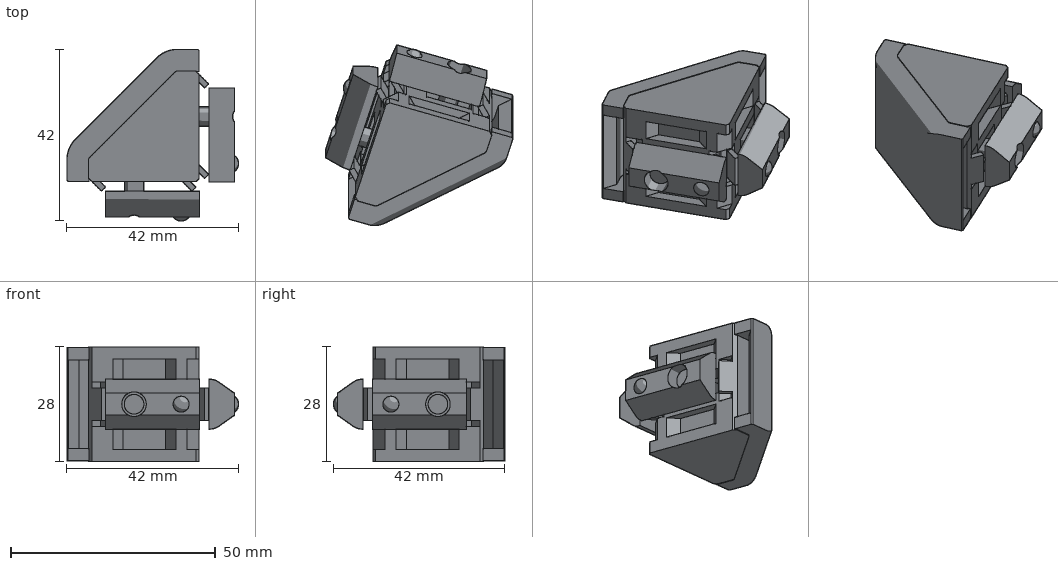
import cadquery as cq
import math

SYMMETRY_NORMAL = (1, 1, 0)
ROOT_HALF = math.sqrt(0.5)

bracket_height = 28.0
bracket_leg = 27.1
bracket_slope = 32.7
bracket_slope_fillet = 1.2
end_chamfer = 0.9
corner_chamfer = 0.7

recess_half_height = 11.05
pocket_inner_z = 6.0
pocket_start = -21.1
pocket_end = -5.7
pocket_depth = 2.48

slot_height = 6.43
slot_length = 11.5
slot_depth = 5.25

tab_height = 8.0
tab_thickness = 1.43
tab_pitch = 22.1
tab_tip = -21.55
notch_half_height = 5.45
notch_depth = 2.1
corner_cut = 2.95
corner_notch = 5.0
ridge_tip = 3.55

cap_height = 27.73
cap_leg = 32.35
cap_slope = 40.62
cap_wall = 3.02
cap_corner_radius = 7.0
cap_edge_chamfer = 0.35
cap_lip = 0.2
lip_reach = 1.25
mouth_chamfer = 2.6

nut_length = 23.02
nut_end = 0.13
nut_gap = 2.35
nut_depth = 6.3
nut_half_width = 6.15
nut_nose_half_width = 2.7
nut_side_flat = 0.15
nut_round_radius = 4.0
nut_slope_angle = math.radians(35.3)
nut_nose_y = -nut_gap - nut_depth
nut_bore = 6.0
ball_diameter = 4.8
ball_x = -4.4
ball_protrusion = 1.0

screw_diameter = 4.8
screw_x = -15.92
screw_recess = 2.77


def mirrored(shape):
    """The same shape on the other mounting face."""
    return shape.mirror(SYMMETRY_NORMAL)


def on_both_faces(shape):
    return shape.union(mirrored(shape))


def prism(points, height, z_center=0.0):
    """Vertical prism over an XY outline, centred on z_center."""
    return cq.Workplane("XY", origin=(0, 0, z_center - height / 2)).polyline(points).close().extrude(height)


def diagonal_box(sum_range, difference_range, height):
    """Upright box at 45 degrees, given by its ranges of X + Y and X - Y."""
    points = []
    for s, d in ((0, 0), (1, 0), (1, 1), (0, 1)):
        total = sum_range[s]
        difference = difference_range[d]
        points.append(((total + difference) / 2, (total - difference) / 2))
    return prism(points, height)


def sloped_outline(leg, slope):
    """Corner, end of the X leg, slope, end of the Y leg."""
    return [(0, 0), (-leg, 0), (-leg, slope - leg), (leg - slope, leg), (0, leg)]


def slope_corners(shape, leg, slope):
    """Vertical edges at both ends of the sloped side."""
    reach = 0.05
    low_end = cq.selectors.BoxSelector(
        (-leg - reach, slope - leg - reach, -reach), (-leg + reach, slope - leg + reach, reach))
    high_end = cq.selectors.BoxSelector(
        (leg - slope - reach, leg - reach, -reach), (leg - slope + reach, leg + reach, reach))
    return shape.edges(low_end + high_end)



def bracket_blank():
    blank = prism(sloped_outline(bracket_leg, bracket_slope), bracket_height)
    blank = slope_corners(blank, bracket_leg, bracket_slope).fillet(bracket_slope_fillet)
    end = prism([(-bracket_leg, 0), (-bracket_leg + end_chamfer, 0), (-bracket_leg, end_chamfer)],
                bracket_height)
    corner = prism([(0, 0), (-corner_chamfer, 0), (0, corner_chamfer)], bracket_height)
    return blank.cut(on_both_faces(end)).cut(corner)


def face_pockets():
    outline = [
        (pocket_start, 0),
        (pocket_end, 0),
        (pocket_end - pocket_depth, pocket_depth),
        (pocket_start + pocket_depth, pocket_depth),
    ]
    height = recess_half_height - pocket_inner_z
    z_center = (recess_half_height + pocket_inner_z) / 2
    return prism(outline, height, z_center).union(prism(outline, height, -z_center))


def screw_slot():
    return cq.Workplane("XY", origin=(screw_x, 0, 0)).box(
        slot_length, slot_depth, slot_height, centered=(True, False, True))


def outer_notch():
    start = end_chamfer - bracket_leg
    outline = [(start, 0), (start + notch_depth, notch_depth), (start + 2 * notch_depth, 0)]
    return prism(outline, 2 * notch_half_height)


def corner_recess():
    def corner_prism(size, height):
        return prism([(0, 0), (-size, 0), (0, size)], height)

    ridge_half_sum = tab_thickness * ROOT_HALF
    ridge = diagonal_box((-ridge_half_sum, ridge_half_sum), (-corner_notch, -ridge_tip),
                         2 * notch_half_height)
    notch = corner_prism(corner_notch, 2 * notch_half_height).cut(ridge)
    return corner_prism(corner_cut, 2 * recess_half_height).union(notch)


def spring_tabs():
    outer_sum = end_chamfer - bracket_leg
    inner_sum = outer_sum + tab_pitch
    sum_width = tab_thickness / ROOT_HALF
    outer = diagonal_box((outer_sum, outer_sum + sum_width), (outer_sum, tab_tip), tab_height)
    inner_tip = tab_tip + tab_pitch
    inner = diagonal_box((inner_sum, inner_sum + sum_width), (-corner_notch, inner_tip), tab_height)
    return outer, inner


def make_bracket():
    bracket = bracket_blank().cut(corner_recess())
    for recess in (face_pockets(), screw_slot(), outer_notch()):
        bracket = bracket.cut(recess).cut(mirrored(recess))
    for tab in spring_tabs():
        bracket = bracket.union(tab).union(mirrored(tab))
    return bracket



def cap_blank():
    """Outer shape, rounded at both ends of the slope, with a gap that the bracket fills."""
    lip_end = bracket_leg - cap_lip
    outline = [
        (-lip_end, 0),
        (cap_edge_chamfer - cap_leg, 0),
        (-cap_leg, cap_edge_chamfer),
        (-cap_leg, cap_slope - cap_leg),
        (cap_leg - cap_slope, cap_leg),
        (-cap_edge_chamfer, cap_leg),
        (0, cap_leg - cap_edge_chamfer),
        (0, lip_end),
        (-lip_reach, lip_end),
        (-lip_end / 2, lip_end / 2),
        (-lip_end, lip_reach),
    ]
    blank = prism(outline, cap_height)
    return slope_corners(blank, cap_leg, cap_slope).fillet(cap_corner_radius)


def cap_slope_rounding():
    """Bar along the slope whose long edges on the sloped face are rounded."""
    edge_radius = cap_corner_radius * (1 - ROOT_HALF)
    bar = diagonal_box((-2 * cap_leg, 2 * cap_leg), (-cap_slope, cap_leg), cap_height)
    sloped_face = bar.faces(cq.selectors.DirectionMinMaxSelector(cq.Vector(-1, 1, 0)))
    return sloped_face.edges("not |Z").fillet(edge_radius)


def cap_cavity():
    leg = cap_leg - cap_wall
    slope = cap_slope - cap_wall / ROOT_HALF
    height = cap_height - 2 * cap_wall
    cavity = prism(sloped_outline(leg, slope), height)
    cavity = slope_corners(cavity, leg, slope).fillet(cap_corner_radius - cap_wall)
    mouth = prism([(-leg - mouth_chamfer, 0), (-leg, mouth_chamfer), (-leg, 0)], height)
    return cavity.union(on_both_faces(mouth))


def make_cap():
    return cap_blank().intersect(cap_slope_rounding()).cut(bracket_blank()).cut(cap_cavity())



def nut_body():
    def round_point(angle):
        """Point on the rounded side where its tangent has turned by this angle."""
        return (-nut_gap - nut_side_flat - nut_round_radius * math.sin(angle),
                nut_half_width - nut_round_radius * (1 - math.cos(angle)))

    upper_half = (
        cq.Workplane("YZ", origin=(nut_end - nut_length, 0, 0))
        .moveTo(nut_nose_y, 0)
        .lineTo(nut_nose_y, nut_nose_half_width)
        .lineTo(*round_point(nut_slope_angle))
        .threePointArc(round_point(nut_slope_angle / 2), round_point(0))
        .lineTo(-nut_gap, nut_half_width)
        .lineTo(-nut_gap, 0)
        .close()
        .extrude(nut_length)
    )
    return upper_half.union(upper_half.mirror("XY"))


def make_nut():
    bore = cq.Workplane("XZ", origin=(screw_x, 0, 0)).circle(nut_bore / 2).extrude(-nut_nose_y)
    ball_y = nut_nose_y - ball_protrusion + ball_diameter / 2
    ball = cq.Workplane("XY", origin=(ball_x, ball_y, 0)).sphere(ball_diameter / 2)
    return nut_body().cut(bore).union(ball)


def make_screw():
    length = slot_depth - nut_nose_y - screw_recess
    return cq.Workplane("XZ", origin=(screw_x, slot_depth, 0)).circle(screw_diameter / 2).extrude(length)


bracket = make_bracket()
cap = make_cap()
nuts = [make_nut(), mirrored(make_nut())]
screws = [make_screw(), mirrored(make_screw())]

result = cq.Compound.makeCompound(
    [bracket.val(), cap.val()] + [nut.val() for nut in nuts] + [screw.val() for screw in screws]
)